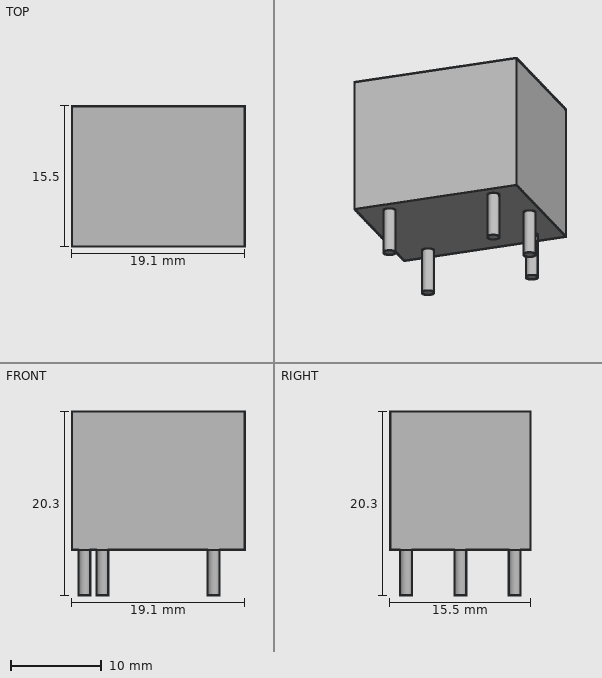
import cadquery as cq

case_length = 19.1
case_width = 15.5
total_height = 20.3
pin_length = 5.03
case_height = total_height - pin_length

pin_diameter = 1.34
coil_pin_x = -6.17
common_pin_offset = 1.99
contact_pin_spacing = 12.26
row_spacing = 12.0

common_pin_x = coil_pin_x - common_pin_offset
contact_pin_x = coil_pin_x + contact_pin_spacing
row_y = row_spacing / 2

pin_centers = [(common_pin_x, 0)]
for side in (-1, 1):
    pin_centers.append((coil_pin_x, side * row_y))
    pin_centers.append((contact_pin_x, side * row_y))

case = cq.Workplane("XY").box(case_length, case_width, case_height, centered=(True, True, False))
pins = cq.Workplane("XY").pushPoints(pin_centers).circle(pin_diameter / 2).extrude(-pin_length)

result = case.union(pins)